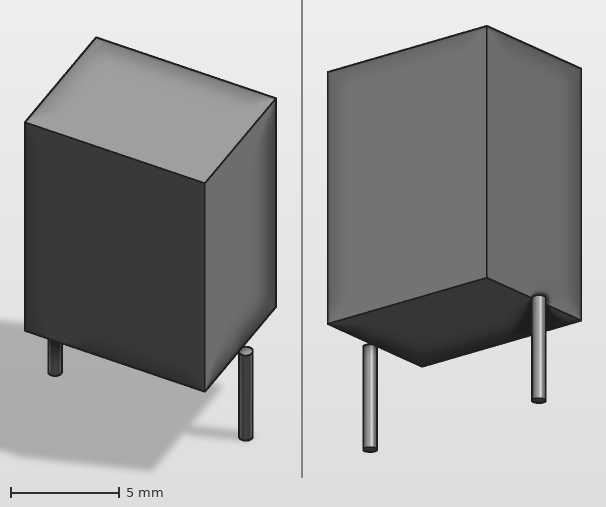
import cadquery as cq

TOTAL_HEIGHT = 17.6
BODY_WIDTH = 9.43
BODY_DEPTH = 7.0
BODY_HEIGHT = 12.5
PIN_DIAMETER = 0.65
PIN_PITCH = 10.0

pin_length = TOTAL_HEIGHT - BODY_HEIGHT


def make_body():
    """Rectangular block standing on the plane Z = 0."""
    return cq.Workplane("XY").box(BODY_WIDTH, BODY_DEPTH, BODY_HEIGHT, centered=(True, True, False))


def make_pin(x):
    """Round lead hanging down from the underside plane of the body."""
    return cq.Workplane("XY").center(x, 0).circle(PIN_DIAMETER / 2).extrude(-pin_length)


body = make_body()
pins = [make_pin(side * PIN_PITCH / 2) for side in (-1, 1)]

result = cq.Compound.makeCompound([body.val(), *[pin.val() for pin in pins]])